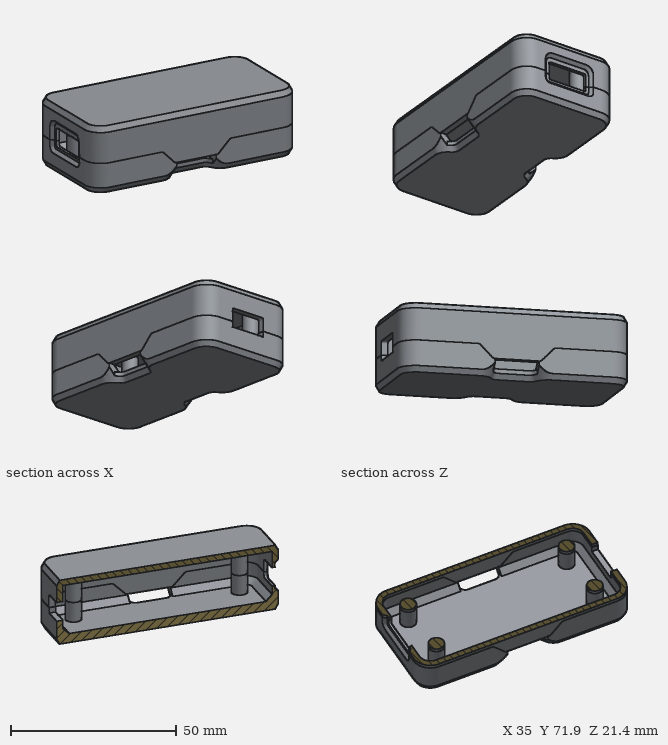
import cadquery as cq
import math

LENGTH = 71.9
WIDTH = 35.0
HEIGHT = 21.4
CORNER_R = 5.75
EDGE_INSET = 1.0
EDGE_RISE = 1.8

WALL = 2.1
FLOOR = 3.15
ROOF = 2.1
FLOOR_BEVEL = 2.0
PARTING_Z = 9.7

TAB_BOTTOM_Z = 5.4
TAB_HALF_LENGTH = 7.5
TAB_FILLET = 1.15

OPENING_HALF_LENGTH = 6.9
NOTCH_DEPTH = 4.3
NOTCH_SLOPE = 60.0
NOTCH_FLOOR_HALF = 4.7
NOTCH_ARC_R = 1.8
NOTCH_CORNER_R = 5.5
FLARE_TOP_Z = 4.3

WINDOW_HALF_WIDTH = 6.75
WINDOW_BOTTOM_Z = 7.9
WINDOW_TOP_Z = 14.0
WINDOW_R = 0.65
RECESS_DEPTH = 1.1
RECESS_HALF_WIDTH = 8.85
RECESS_BOTTOM_Z = 6.0
RECESS_TOP_Z = 16.6
RECESS_TOP_R = 2.8
RECESS_BOTTOM_R = 1.95

REAR_LID_HALF_WIDTH = 6.3
REAR_BASE_HALF_WIDTH = 6.2

POST_X = 9.35
POST_Y = 26.9
POST_R = 2.5

OVERCUT = 3.6


def rounded_block(length, width, bottom_z, top_z, corner_r):
    """Upright block with rounded vertical edges."""
    block = cq.Workplane("XY", origin=(0, 0, bottom_z)).rect(width, length).extrude(top_z - bottom_z)
    return block.edges("|Z").fillet(corner_r)


def window_outline(half_width, bottom_z, top_z, bottom_r, top_r):
    """Rounded rectangle in the XZ plane whose lower and upper corners may differ."""
    height = top_z - bottom_z
    return (
        cq.Sketch()
        .push([(0, bottom_z + height / 2)])
        .rect(2 * half_width, height)
        .reset()
        .vertices("<Y")
        .fillet(bottom_r)
        .reset()
        .vertices(">Y")
        .fillet(top_r)
    )


def front_window_cutter():
    """Plug window through the -Y end wall and its 45 degree recess."""
    end_face = cq.Workplane("XZ", origin=(0, -LENGTH / 2, 0))
    opening = window_outline(WINDOW_HALF_WIDTH, WINDOW_BOTTOM_Z, WINDOW_TOP_Z, WINDOW_R, WINDOW_R)
    recess = window_outline(RECESS_HALF_WIDTH, RECESS_BOTTOM_Z, RECESS_TOP_Z, RECESS_BOTTOM_R, RECESS_TOP_R)
    through = end_face.placeSketch(opening).extrude(-WALL - OVERCUT)
    bevelled = end_face.placeSketch(recess).extrude(-RECESS_DEPTH, taper=45)
    return through.union(bevelled)


def rear_window_cutter():
    """Window through the +Y end wall, round-cornered in the lid and square in the base."""
    behind_wall = cq.Workplane("XZ", origin=(0, LENGTH / 2 + OVERCUT, 0))
    in_lid = (
        behind_wall.center(0, (PARTING_Z + WINDOW_TOP_Z) / 2)
        .rect(2 * REAR_LID_HALF_WIDTH, WINDOW_TOP_Z - PARTING_Z)
        .extrude(OVERCUT + WALL)
        .edges("|Y and >Z")
        .fillet(WINDOW_R)
    )
    in_base = (
        behind_wall.center(0, (WINDOW_BOTTOM_Z + PARTING_Z) / 2)
        .rect(2 * REAR_BASE_HALF_WIDTH, PARTING_Z - WINDOW_BOTTOM_Z)
        .extrude(OVERCUT + WALL)
    )
    return in_lid.union(in_base)


def notch_points(inset):
    """Half outline of the -X finger notch on the +Y side, from floor to side wall.

    The straight floor runs through a tangent arc into a slanted flank, which
    meets the side wall at a sharp corner. The inset grows the notch into the case.
    """
    slope = math.radians(NOTCH_SLOPE)
    arc_r = NOTCH_ARC_R + inset
    wall_x = -WIDTH / 2 + inset
    floor_x = wall_x + NOTCH_DEPTH

    def arc_point(angle):
        return floor_x - arc_r * (1 - math.cos(angle)), NOTCH_FLOOR_HALF + arc_r * math.sin(angle)

    flank_x, flank_y = arc_point(slope)
    corner = wall_x, flank_y + (flank_x - wall_x) / math.tan(slope)
    return arc_point(0), arc_point(slope / 2), (flank_x, flank_y), corner


def notch_outline(bottom_z, inset):
    """Closed outline of the finger notch, running on outside the case."""
    points = notch_points(inset)
    floor_end, arc_middle, arc_end, corner = points
    other_floor_end, other_arc_middle, other_arc_end, other_corner = [(x, -y) for x, y in points]
    wall_x, corner_y = corner
    end_y = corner_y + 2 * NOTCH_CORNER_R
    outside_x = wall_x - 2 * OVERCUT
    return (
        cq.Workplane("XY", origin=(0, 0, bottom_z))
        .moveTo(*other_floor_end)
        .lineTo(*floor_end)
        .threePointArc(arc_middle, arc_end)
        .lineTo(*corner)
        .lineTo(wall_x, end_y)
        .lineTo(outside_x, end_y)
        .lineTo(outside_x, -end_y)
        .lineTo(wall_x, -end_y)
        .lineTo(*other_corner)
        .lineTo(*other_arc_end)
        .threePointArc(other_arc_middle, other_floor_end)
        .close()
    )


def flare_cutter():
    """Notch whose walls lean like the bottom bevel, with rounded outer corners."""
    top_inset = EDGE_INSET * (1 - FLARE_TOP_Z / EDGE_RISE)
    bottom = notch_outline(0, EDGE_INSET).val()
    top = notch_outline(FLARE_TOP_Z, top_inset).val()
    flare = cq.Workplane(cq.Solid.makeLoft([bottom, top], True))

    bottom_x, bottom_y = notch_points(EDGE_INSET)[-1]
    top_x, top_y = notch_points(top_inset)[-1]
    corner_x = (bottom_x + top_x) / 2
    corner_y = (bottom_y + top_y) / 2
    for side in (-1, 1):
        corner_middle = (corner_x, side * corner_y, FLARE_TOP_Z / 2)
        flare = flare.edges(cq.NearestToPointSelector(corner_middle)).fillet(NOTCH_CORNER_R)
    return flare


def side_opening_cutters():
    """Tools for the -X side: the wall opening and the finger notch under it."""
    reach = WALL + FLOOR_BEVEL
    opening = cq.Workplane("XY").box(
        2 * reach, 2 * OPENING_HALF_LENGTH, TAB_BOTTOM_Z - FLOOR, centered=(True, True, False)
    ).translate((-WIDTH / 2, 0, FLOOR))
    upright = notch_outline(EDGE_RISE, 0).extrude(FLOOR - EDGE_RISE)
    between_walls = cq.Workplane("XY").box(2 * WIDTH, 2 * OPENING_HALF_LENGTH, 2 * HEIGHT)
    return opening, flare_cutter(), upright.intersect(between_walls)


def closed_shell():
    """Hollow case with all its openings, before it is split."""
    outside = rounded_block(LENGTH, WIDTH, 0, HEIGHT, CORNER_R)
    outside = outside.faces("<Z or >Z").chamfer(EDGE_RISE, EDGE_INSET)
    cavity = rounded_block(LENGTH - 2 * WALL, WIDTH - 2 * WALL, FLOOR, HEIGHT - ROOF, CORNER_R - WALL)
    cavity = cavity.faces("<Z").chamfer(FLOOR_BEVEL)
    shell = outside.cut(cavity)
    shell = shell.cut(front_window_cutter()).cut(rear_window_cutter())
    for tool in side_opening_cutters():
        shell = shell.cut(tool).cut(tool.mirror("YZ"))
    return shell


def base_space():
    """Everything below the parting surface, which dips under the lid tabs."""
    tab_top_half = TAB_HALF_LENGTH + PARTING_Z - TAB_BOTTOM_Z
    space = (
        cq.Workplane("YZ")
        .moveTo(-LENGTH, -OVERCUT)
        .lineTo(-LENGTH, PARTING_Z)
        .lineTo(-tab_top_half, PARTING_Z)
        .lineTo(-TAB_HALF_LENGTH, TAB_BOTTOM_Z)
        .lineTo(TAB_HALF_LENGTH, TAB_BOTTOM_Z)
        .lineTo(tab_top_half, PARTING_Z)
        .lineTo(LENGTH, PARTING_Z)
        .lineTo(LENGTH, -OVERCUT)
        .close()
        .extrude(WIDTH, both=True)
    )
    tab_area = cq.selectors.BoxSelector((-2 * WIDTH, -LENGTH / 2, 0), (2 * WIDTH, LENGTH / 2, HEIGHT))
    return space.edges("|X").edges(tab_area).fillet(TAB_FILLET)


def posts(bottom_z, top_z):
    """Four screw posts, one near each corner."""
    return (
        cq.Workplane("XY", origin=(0, 0, bottom_z))
        .rect(2 * POST_X, 2 * POST_Y, forConstruction=True)
        .vertices()
        .circle(POST_R)
        .extrude(top_z - bottom_z)
    )


def make_base(shell):
    """Lower half of the case."""
    return shell.intersect(base_space()).union(posts(FLOOR, PARTING_Z))


def make_lid(shell):
    """Upper half of the case, with its side tabs."""
    return shell.cut(base_space()).union(posts(PARTING_Z, HEIGHT - ROOF))


shell = closed_shell()
base = make_base(shell)
lid = make_lid(shell)

result = cq.Compound.makeCompound([base.val(), lid.val()])